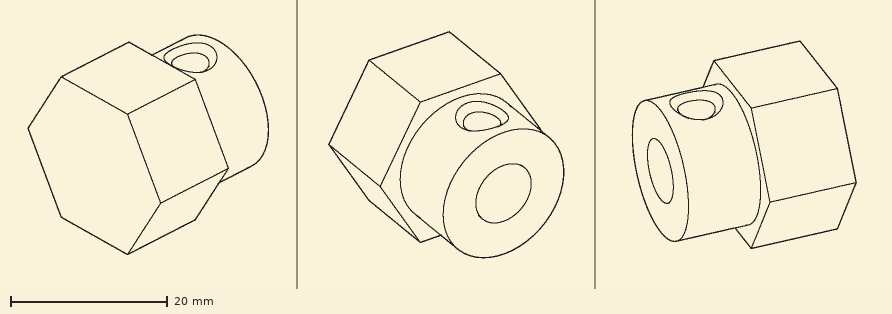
import cadquery as cq

head_across_corners = 24.62
head_length = 12.0

total_length = 22.0
hub_length = total_length - head_length
hub_diameter = 18.5
bore_diameter = 8.5

hole_diameter = 4.8
mouth_chamfer = 1.0
hole_y = head_length + hub_length / 2


def rod_along_y(diameter, start_y, length):
    """Round bar that runs from start_y toward +Y."""
    return cq.Workplane("XZ", origin=(0, start_y, 0)).circle(diameter / 2).extrude(-length)


head = cq.Workplane("XZ").polygon(6, head_across_corners).extrude(-head_length)
hub = rod_along_y(hub_diameter, head_length, hub_length)
bore = rod_along_y(bore_diameter, head_length, hub_length)
radial_hole = (
    cq.Workplane("XY", origin=(0, hole_y, 0)).circle(hole_diameter / 2).extrude(hub_diameter)
)

mouth_edge = cq.selectors.NearestToPointSelector((0, hole_y, hub_diameter / 2))
hub = hub.cut(radial_hole).edges(mouth_edge).chamfer(mouth_chamfer)

result = head.union(hub.cut(bore))